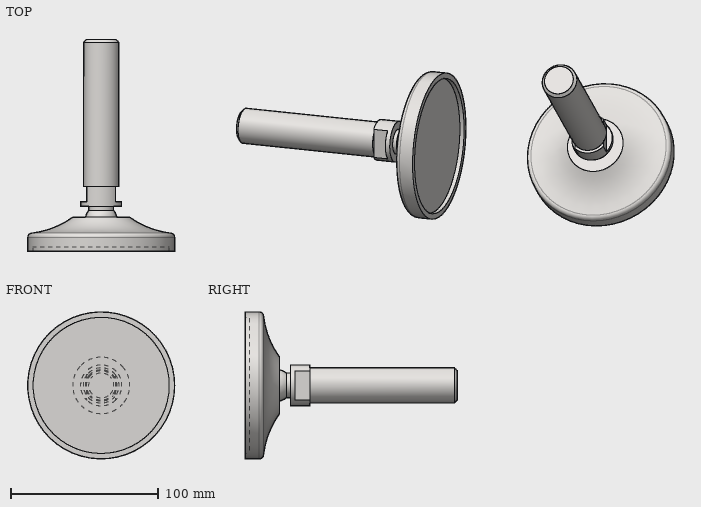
import cadquery as cq
import math


pad_radius = 100.0 / 2
rim_height = 9.5
rim_round = 3.0
pad_height = 23.3
pad_top_radius = 19.3
flare_sag = 1.9
recess_diameter = 92.5
recess_depth = 3.0

ball_radius = 11.0
ball_center_y = 21.0
neck_radius = 17.0 / 2

collar_start = 30.7
collar_end = 43.9
collar_diameter = 28.0
flat_start = 33.8
across_flats = 19.7

stud_diameter = 24.0
stud_end = 144.0
stud_chamfer = 2.0


def cylinder_along_y(diameter, start, end):
    """Solid cylinder about the Y axis between two Y positions."""
    plane = cq.Workplane("XZ", origin=(0, start, 0))
    return plane.circle(diameter / 2).extrude(start - end)


def make_pad():
    """Rim with a rounded shoulder, hollow flare and shallow recess underneath."""
    shoulder_radius = pad_radius - rim_round
    shoulder_y = rim_height + rim_round
    diagonal = rim_round * math.sqrt(0.5)
    round_middle = (shoulder_radius + diagonal, rim_height + diagonal)

    run = shoulder_radius - pad_top_radius
    rise = pad_height - shoulder_y
    chord = math.hypot(run, rise)
    flare_middle = (
        pad_top_radius + run / 2 - flare_sag * rise / chord,
        shoulder_y + rise / 2 - flare_sag * run / chord,
    )
    pad = (
        cq.Workplane("XY")
        .lineTo(pad_radius, 0)
        .lineTo(pad_radius, rim_height)
        .threePointArc(round_middle, (shoulder_radius, shoulder_y))
        .threePointArc(flare_middle, (pad_top_radius, pad_height))
        .lineTo(0, pad_height)
        .close()
        .revolve(360, (0, 0, 0), (0, 1, 0))
    )
    return pad.cut(cylinder_along_y(recess_diameter, 0, recess_depth))


def make_ball_and_neck():
    """Ball cap rising out of the pad and blending into a straight neck."""
    base_y = ball_center_y
    neck_y = ball_center_y + math.sqrt(ball_radius**2 - neck_radius**2)
    middle_angle = math.acos(neck_radius / ball_radius) / 2
    arc_middle = (
        ball_radius * math.cos(middle_angle),
        ball_center_y + ball_radius * math.sin(middle_angle),
    )
    return (
        cq.Workplane("XY")
        .moveTo(0, base_y)
        .lineTo(ball_radius, base_y)
        .threePointArc(arc_middle, (neck_radius, neck_y))
        .lineTo(neck_radius, collar_start)
        .lineTo(0, collar_start)
        .close()
        .revolve(360, (0, 0, 0), (0, 1, 0))
    )


def make_collar():
    """Round collar with two wrench flats facing -X and +X above a thin flange."""
    flange = cylinder_along_y(collar_diameter, collar_start, flat_start)
    flat_length = collar_end - flat_start
    between_flats = cq.Workplane("XY").box(across_flats, flat_length, collar_diameter)
    between_flats = between_flats.translate((0, flat_start + flat_length / 2, 0))
    wrench_part = cylinder_along_y(collar_diameter, flat_start, collar_end)
    return flange.union(wrench_part.intersect(between_flats))


def make_stud():
    """Plain stud with a chamfered free end."""
    stud = cylinder_along_y(stud_diameter, collar_end, stud_end)
    return stud.faces(">Y").chamfer(stud_chamfer)


result = make_pad().union(make_ball_and_neck()).union(make_collar()).union(make_stud())